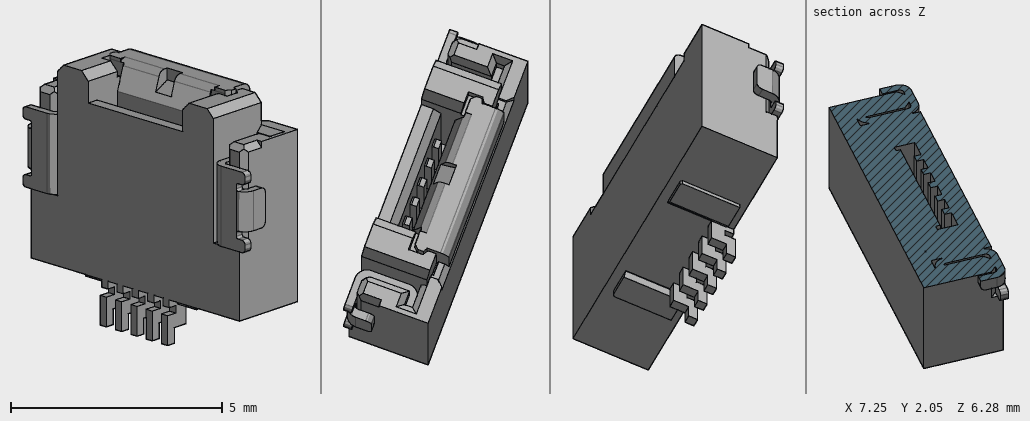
import cadquery as cq
import math

BODY_HALF = 3.4
BODY_DEPTH = 2.0
SHOULDER_Z = 4.31
CHAMFER = 0.15

TOWER_HALF = 2.545
TOWER_DEPTH = 1.65
TOWER_TOP = 5.07
TOWER_CHAMFER = 0.2

CAVITY_HALF = 1.54
OPENING_CHAMFER = 0.22
CAVITY_FRONT = 0.5
CAVITY_FLOOR = 1.0
LIP_CHAMFER = 0.195

PLATE_HALF = 1.88
PLATE_FRONT = 1.11
PLATE_BACK = 1.965
PLATE_TOP = 5.15
PLATE_BACK_RADIUS = 0.22
ARM_HALF = 1.99
ARM_FRONT = 1.225
ARM_BACK = 1.36
ARM_BOTTOM = 5.06
NECK_FRONT = 1.415
PLATE_GAP = 0.035
HEAD_GAP_HALF = 2.045
HEAD_GAP_FRONT = 1.0
HEAD_GAP_FLOOR = 4.71

WEB_FRONT = 1.0
WEB_FOOT_Z = 2.9

ROUND_RADIUS = 0.195
ROUND_BACK = 1.27
WEDGE_HALF = 1.43
WEDGE_FRONT = 0.89
WEDGE_BOTTOM = 4.41
WEDGE_TOP = 5.0
NOTCH_HALF = 0.255
NOTCH_BACK = 1.36
NOTCH_BACK_Z = 4.85
NOTCH_FRONT_Z = 4.605

RELIEF_HALF = 2.32
RELIEF_FLOOR_BACK = 1.855
RELIEF_DEPTH = 0.145
GROOVE_HALF = 2.225
GROOVE_BACK = 1.7

SHEET = 0.2
BEND_IN = 0.095
BEND_OUT = BEND_IN + SHEET
BRACKET_BOTTOM = 1.755
BRACKET_TOP = 3.76
BRACKET_TIP = 3.625
BRACKET_FRONT = -0.05
BRACKET_BACK = 1.51
HOOK_TIP = 3.13
LEG_INNER = TOWER_HALF + SHEET
SLIT_X = 3.34
SLIT_ROUND = 0.06
EAR_HEIGHT = 0.31
EAR_RADIUS = 0.1
TAB_BOTTOM = 2.255
TAB_TOP = 3.255
TAB_BACK = 0.65
TAB_RADIUS = 0.145
TAB_OVERLAP = 0.07

POST_INNER = 2.785
POST_FRONT = BRACKET_FRONT + SHEET
POST_BACK = BRACKET_BACK - SHEET
POST_SIDE_CHAMFER_BACK = 0.76

PIN_COUNT = 5
PIN_PITCH = 0.5
PIN_WIDTH = 0.2
PIN_FRONT = -0.05
PIN_BACK = 0.59
PIN_BOTTOM = -1.13
HEEL_BOTTOM = -0.74
FOOT_TOP = -0.385
FOOT_BACK = 0.19
TOE_BOTTOM = -0.195
STEM_FRONT = 0.23
CONTACT_BACK = 0.675
CONTACT_TOP = 3.26
CONTACT_CHAMFER = 0.04

PAD_OUTER = 1.805
PAD_INNER = 1.095
PAD_FRONT = 0.195
PAD_BACK = 1.755
PAD_HEIGHT = 0.13
PAD_CHAMFER = 0.11
PAD_CORNER = 0.04


def block(x0, x1, y0, y1, z0, z1):
    """Box between two opposite corners."""
    return cq.Workplane("XY").box(x1 - x0, y1 - y0, z1 - z0, centered=False).translate((x0, y0, z0))


def column(points, z0, z1):
    """Plan outline raised from z0 to z1."""
    return cq.Workplane("XY").workplane(offset=z0).polyline(points).close().extrude(z1 - z0)


def bar(points, half):
    """Outline in Y-Z drawn out to both sides of the centre plane."""
    return cq.Workplane("YZ").polyline(points).close().extrude(half, both=True)


def on_both_sides(right):
    """The right-hand shape together with its mirror image."""
    return right.union(right.mirror("YZ"))


def mirrored_outline(right):
    """Closed outline from the right-hand points and their mirror images."""
    return right + [(-x, y) for x, y in reversed(right)]


def flared_pocket(x0, x1, y0, y1, z0):
    """Pocket from z0 up to the shoulder, with a chamfered mouth."""
    mouth = (
        cq.Workplane("XY").workplane(offset=SHOULDER_Z)
        .center((x0 + x1) / 2, (y0 + y1) / 2)
        .rect(x1 - x0 + 2 * CHAMFER, y1 - y0 + 2 * CHAMFER)
        .workplane(offset=-CHAMFER).rect(x1 - x0, y1 - y0)
        .loft(ruled=True)
    )
    return block(x0, x1, y0, y1, z0, SHOULDER_Z).union(mouth)


def make_shoulders():
    return block(-BODY_HALF, BODY_HALF, 0, BODY_DEPTH, 0, SHOULDER_Z)


def make_rear_relief():
    """Relief that slopes and flares at 45 degrees to the rear, with a groove at the tower."""
    run_out = BODY_DEPTH - RELIEF_FLOOR_BACK
    floor = SHOULDER_Z - RELIEF_DEPTH
    plan = column(mirrored_outline([
        (RELIEF_HALF, 0),
        (RELIEF_HALF, RELIEF_FLOOR_BACK),
        (RELIEF_HALF + run_out, BODY_DEPTH),
    ]), floor - run_out, SHOULDER_Z)
    side_profile = bar([
        (TOWER_DEPTH, SHOULDER_Z),
        (TOWER_DEPTH, floor),
        (RELIEF_FLOOR_BACK, floor),
        (BODY_DEPTH, floor - run_out),
        (BODY_DEPTH, SHOULDER_Z),
    ], BODY_HALF)
    groove = block(-GROOVE_HALF, GROOVE_HALF, TOWER_DEPTH, GROOVE_BACK, floor - RELIEF_DEPTH, floor)
    return plan.intersect(side_profile).union(groove)


def make_bracket_recess():
    """Room for the right-hand bracket: hook pocket, leg slot and the step around the post."""
    hook = flared_pocket(TOWER_HALF - CHAMFER, HOOK_TIP, POST_BACK, BRACKET_BACK, BRACKET_BOTTOM)
    leg = flared_pocket(TOWER_HALF - CHAMFER, POST_INNER, -BRACKET_BACK, POST_BACK, BRACKET_BOTTOM)
    front = block(TOWER_HALF, BODY_HALF, 0, POST_FRONT, BRACKET_BOTTOM, SHOULDER_Z)
    front_edge = (
        cq.Workplane("YZ").workplane(offset=TOWER_HALF)
        .moveTo(POST_FRONT, SHOULDER_Z).lineTo(POST_FRONT + CHAMFER, SHOULDER_Z)
        .lineTo(POST_FRONT, SHOULDER_Z - CHAMFER).close().extrude(BODY_HALF - TOWER_HALF)
    )
    side_edge = (
        cq.Workplane("XZ").workplane(offset=-POST_SIDE_CHAMFER_BACK)
        .moveTo(BODY_HALF, SHOULDER_Z).lineTo(BODY_HALF - CHAMFER, SHOULDER_Z)
        .lineTo(BODY_HALF, SHOULDER_Z - CHAMFER).close().extrude(POST_SIDE_CHAMFER_BACK)
    )
    outer_corner = column(
        [(BODY_HALF, POST_FRONT), (BODY_HALF - CHAMFER, POST_FRONT), (BODY_HALF, POST_FRONT + CHAMFER)],
        BRACKET_BOTTOM, SHOULDER_Z,
    )
    inner_corner = column(
        [(POST_INNER, POST_FRONT), (POST_INNER + CHAMFER, POST_FRONT), (POST_INNER, POST_FRONT + CHAMFER)],
        BRACKET_BOTTOM, SHOULDER_Z,
    )
    recess = hook
    for cutter in (leg, front, front_edge, side_edge, outer_corner, inner_corner):
        recess = recess.union(cutter)
    return recess


def make_tower():
    return (
        block(-TOWER_HALF, TOWER_HALF, 0, TOWER_DEPTH, 0, TOWER_TOP)
        .edges("|Y and >Z").chamfer(TOWER_CHAMFER)
    )


def make_cavity():
    """Plug-in space, the opening in the tower front and the sloped lip of the front wall."""
    space = block(-CAVITY_HALF, CAVITY_HALF, CAVITY_FRONT, PLATE_FRONT, CAVITY_FLOOR, TOWER_TOP)
    opening = (
        cq.Workplane("XZ").workplane(offset=-PLATE_FRONT)
        .polyline(mirrored_outline([
            (CAVITY_HALF, SHOULDER_Z),
            (CAVITY_HALF, TOWER_TOP - OPENING_CHAMFER),
            (CAVITY_HALF + OPENING_CHAMFER, TOWER_TOP),
        ])).close().extrude(PLATE_FRONT)
    )
    lip = bar([
        (CAVITY_FRONT, SHOULDER_Z),
        (CAVITY_FRONT - LIP_CHAMFER, SHOULDER_Z),
        (CAVITY_FRONT, SHOULDER_Z - LIP_CHAMFER),
    ], CAVITY_HALF)
    return space.union(opening).union(lip)


def make_head_gap():
    """Clearance in the tower around the head of the cover plate."""
    outline = mirrored_outline([
        (HEAD_GAP_HALF, HEAD_GAP_FRONT),
        (HEAD_GAP_HALF, ARM_BACK),
        (PLATE_HALF + PLATE_GAP, NECK_FRONT + PLATE_GAP),
        (PLATE_HALF + PLATE_GAP, TOWER_DEPTH),
    ])
    return column(outline, HEAD_GAP_FLOOR, TOWER_TOP)


def make_plate():
    arm_chamfer = ARM_HALF - PLATE_HALF
    outline = mirrored_outline([
        (PLATE_HALF, PLATE_FRONT),
        (ARM_HALF, PLATE_FRONT + arm_chamfer),
        (ARM_HALF, ARM_BACK),
        (PLATE_HALF, NECK_FRONT),
        (PLATE_HALF, PLATE_BACK),
    ])
    plate = column(outline, CAVITY_FLOOR, PLATE_TOP).edges(">Y and >Z").fillet(PLATE_BACK_RADIUS)
    rounding = (
        round_over(cq.Workplane("YZ").moveTo(WEDGE_FRONT, PLATE_TOP).lineTo(WEDGE_FRONT, WEDGE_TOP))
        .close().extrude(CAVITY_HALF, both=True)
    )
    return plate.cut(rounding)


def round_over(sketch):
    """Continue a Y-Z outline to the top of the wedge and over the rounded edge of the plate."""
    rise = WEDGE_TOP - (PLATE_TOP - ROUND_RADIUS)
    start = ROUND_BACK - math.sqrt(ROUND_RADIUS**2 - rise**2)
    return sketch.lineTo(start, WEDGE_TOP).radiusArc((ROUND_BACK, PLATE_TOP), ROUND_RADIUS)


def make_web():
    return bar([
        (ARM_FRONT, CAVITY_FLOOR),
        (WEB_FRONT, CAVITY_FLOOR),
        (WEB_FRONT, WEB_FOOT_Z),
        (PLATE_FRONT, ARM_BOTTOM),
        (ARM_FRONT, ARM_BOTTOM),
    ], PLATE_HALF)


def make_wedge():
    front = cq.Workplane("YZ").moveTo(WEDGE_FRONT, CAVITY_FLOOR).lineTo(WEDGE_FRONT, WEDGE_BOTTOM)
    return round_over(front).lineTo(ROUND_BACK, CAVITY_FLOOR).close().extrude(WEDGE_HALF, both=True)


def make_key_notch():
    return bar([
        (WEDGE_FRONT, PLATE_TOP),
        (NOTCH_BACK, PLATE_TOP),
        (NOTCH_BACK, NOTCH_BACK_Z),
        (WEDGE_FRONT, NOTCH_FRONT_Z),
    ], NOTCH_HALF)


def bend_selector(x):
    """Picks the bracket edges centred near the given X."""
    reach = SHEET / 3
    return cq.selectors.BoxSelector(
        (x - reach, -BRACKET_BACK, 0),
        (x + reach, 2 * BRACKET_BACK, BRACKET_TOP),
    )


def make_bracket():
    """Right-hand bracket: hook, leg, foot with two ears and an upturned tab between them."""
    height = BRACKET_TOP - BRACKET_BOTTOM
    strip = (
        cq.Workplane("XY").workplane(offset=BRACKET_BOTTOM)
        .moveTo(HOOK_TIP, BRACKET_BACK).lineTo(TOWER_HALF, BRACKET_BACK)
        .lineTo(TOWER_HALF, BRACKET_FRONT).lineTo(BRACKET_TIP, BRACKET_FRONT)
        .lineTo(BRACKET_TIP, POST_FRONT).lineTo(LEG_INNER, POST_FRONT)
        .lineTo(LEG_INNER, POST_BACK).lineTo(HOOK_TIP, POST_BACK).close().extrude(height)
    )
    strip = strip.edges("|Z").edges(bend_selector(TOWER_HALF)).fillet(BEND_OUT)
    strip = strip.edges("|Z").edges(bend_selector(LEG_INNER)).fillet(BEND_IN)

    slits = ((BRACKET_BOTTOM + EAR_HEIGHT, TAB_BOTTOM), (TAB_TOP, BRACKET_TOP - EAR_HEIGHT))
    for z0, z1 in slits:
        slit = block(SLIT_X, BRACKET_TIP, BRACKET_FRONT, POST_FRONT, z0, z1)
        strip = strip.cut(slit.edges("|Y and <X").fillet(SLIT_ROUND))
    strip = strip.cut(block(SLIT_X, BRACKET_TIP, BRACKET_FRONT, POST_FRONT, TAB_BOTTOM, TAB_TOP))
    strip = strip.edges("|Y and >X").fillet(EAR_RADIUS)

    tab = (
        block(SLIT_X - TAB_OVERLAP, BRACKET_TIP, BRACKET_FRONT, TAB_BACK, TAB_BOTTOM, TAB_TOP)
        .edges("|Z and >X and <Y").fillet(BEND_OUT)
    )
    hollow = (
        block(0, BRACKET_TIP - SHEET, POST_FRONT, TAB_BACK, TAB_BOTTOM, TAB_TOP)
        .edges("|Z and >X and <Y").fillet(BEND_IN)
    )
    tab = tab.cut(hollow).edges("|X and >Y").fillet(TAB_RADIUS)
    return strip.union(tab)


def make_pin(x):
    """Contact at the given X: bent solder lead below and flat contact inside the cavity."""
    half = PIN_WIDTH / 2
    lead = (
        cq.Workplane("YZ").workplane(offset=x - half)
        .polyline([
            (0, 0),
            (0, TOE_BOTTOM),
            (STEM_FRONT, TOE_BOTTOM),
            (STEM_FRONT, FOOT_TOP),
            (PIN_FRONT, FOOT_TOP),
            (PIN_FRONT, PIN_BOTTOM),
            (FOOT_BACK, PIN_BOTTOM),
            (FOOT_BACK, HEEL_BOTTOM),
            (PIN_BACK, HEEL_BOTTOM),
            (PIN_BACK, 0),
        ]).close().extrude(PIN_WIDTH)
    )
    contact = (
        block(x - half, x + half, CAVITY_FRONT, CONTACT_BACK, CAVITY_FLOOR, CONTACT_TOP)
        .edges(">Z and <Y").chamfer(CONTACT_CHAMFER)
    )
    return lead.union(contact)


def make_pad():
    return (
        block(PAD_INNER, PAD_OUTER, PAD_FRONT, PAD_BACK, -PAD_HEIGHT, 0)
        .edges("<X and <Z").chamfer(PAD_CHAMFER)
        .edges("|Z and >X and >Y").chamfer(PAD_CORNER)
    )


housing = make_shoulders().cut(on_both_sides(make_bracket_recess()))
housing = housing.union(make_tower())
housing = housing.cut(make_rear_relief()).cut(make_head_gap()).cut(make_cavity())
housing = housing.union(make_plate()).union(make_web()).union(make_wedge()).cut(make_key_notch())
housing = housing.union(on_both_sides(make_pad()))
housing = housing.union(on_both_sides(make_bracket()))
for index in range(PIN_COUNT):
    housing = housing.union(make_pin((index - (PIN_COUNT - 1) / 2) * PIN_PITCH))

result = housing